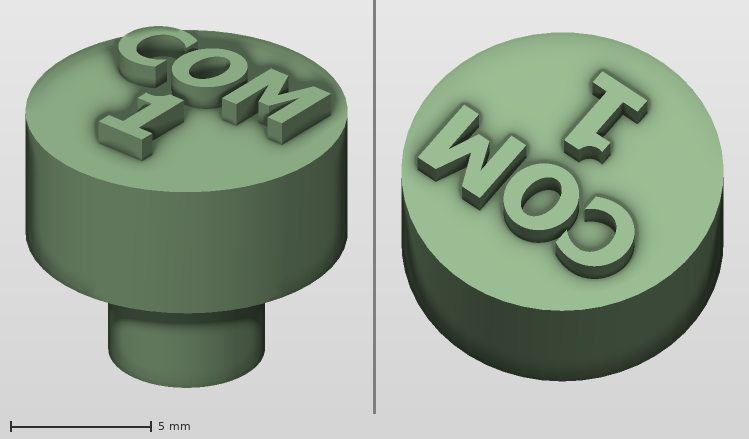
import cadquery as cq

head_diameter = 11.5
stem_diameter = 5.6
stem_length = 4.8
head_height = 5.0
letter_height = 0.9
top_face = stem_length + head_height

round_mid_y = 1.7
round_half_height = 1.41
counter_half_height = 0.9

c_right = -1.89
c_outer_left = -4.15
c_outer_apex_x = -2.77
c_outer_tip_drop = 1.18
c_inner_left = -3.44
c_inner_apex_x = -2.71
c_inner_tip_drop = 0.52

o_center_x = -0.35
o_half_width = 1.31
o_counter_half_width = 0.61

m_center_x = 2.76
m_half_width = 1.39
m_top = 3.07
m_bottom = 0.33
m_leg_inner = 0.72
m_shoulder = 0.59
m_notch_y = 1.76
m_leg_peak_y = 2.15
m_foot_half_width = 0.24
m_foot_y = 0.99

one_left = -0.95
one_right = 1.06
one_bottom = -3.75
one_base_top = -3.17
one_stem_left = -0.3
one_stem_right = 0.43
one_top = -0.65
one_flag_bottom = -1.58
one_flag_top = -1.08
one_flag_curve_mid = (-0.47, -1.02)
one_flag_curve_end_x = -0.24


def on_top():
    return cq.Workplane("XY").workplane(offset=top_face)


def open_oval(left, apex_x, half_height, tip_drop):
    """Oval with a flat right side; an arc joins each apex to a tip on that side."""
    lower_half = (
        on_top()
        .moveTo(left, round_mid_y)
        .ellipseArc(apex_x - left, half_height, 180, 270)
        .tangentArcPoint((c_right, round_mid_y - tip_drop), relative=False)
        .lineTo(c_right, round_mid_y)
        .close()
        .extrude(letter_height)
    )
    return lower_half.union(lower_half.mirror("XZ", (0, round_mid_y, 0)))


def letter_c():
    outer = open_oval(c_outer_left, c_outer_apex_x, round_half_height, c_outer_tip_drop)
    inner = open_oval(c_inner_left, c_inner_apex_x, counter_half_height, c_inner_tip_drop)
    return outer.cut(inner)


def letter_o():
    return (
        on_top()
        .center(o_center_x, round_mid_y)
        .ellipse(o_half_width, round_half_height)
        .ellipse(o_counter_half_width, counter_half_height)
        .extrude(letter_height)
    )


def letter_m():
    left_side = [
        (0, m_notch_y),
        (-m_shoulder, m_top),
        (-m_half_width, m_top),
        (-m_half_width, m_bottom),
        (-m_leg_inner, m_bottom),
        (-m_leg_inner, m_leg_peak_y),
        (-m_foot_half_width, m_foot_y),
    ]
    right_side = [(-x, y) for x, y in reversed(left_side[1:])]
    return on_top().center(m_center_x, 0).polyline(left_side + right_side).close().extrude(letter_height)


def digit_one():
    return (
        on_top()
        .moveTo(one_left, one_flag_top)
        .threePointArc(one_flag_curve_mid, (one_flag_curve_end_x, one_top))
        .lineTo(one_stem_right, one_top)
        .lineTo(one_stem_right, one_base_top)
        .lineTo(one_right, one_base_top)
        .lineTo(one_right, one_bottom)
        .lineTo(one_left, one_bottom)
        .lineTo(one_left, one_base_top)
        .lineTo(one_stem_left, one_base_top)
        .lineTo(one_stem_left, one_flag_bottom)
        .lineTo(one_left, one_flag_bottom)
        .close()
        .extrude(letter_height)
    )


stem = cq.Workplane("XY").circle(stem_diameter / 2).extrude(stem_length)
head = cq.Workplane("XY").workplane(offset=stem_length).circle(head_diameter / 2).extrude(head_height)

result = stem.union(head)
for raised_character in (letter_c(), letter_o(), letter_m(), digit_one()):
    result = result.union(raised_character)